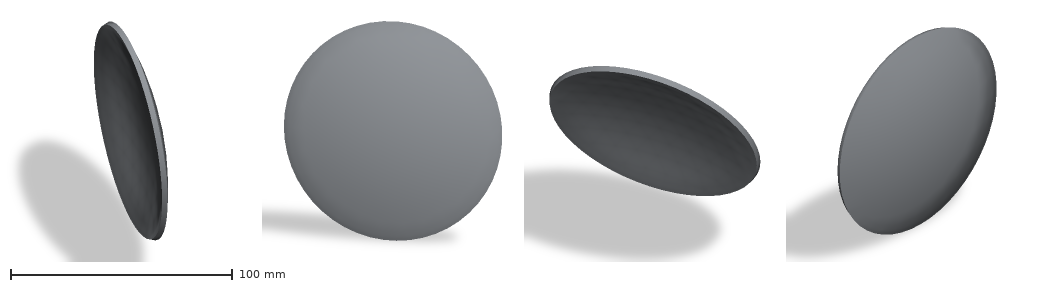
import cadquery as cq
import math

rim_radius = 50.5
outer_radius = 136.6
thickness = 2.5

inner_radius = outer_radius - thickness
rim_angle = math.asin(rim_radius / outer_radius)

sphere_centre_y = -inner_radius * math.cos(rim_angle)


def ball(radius):
    """Solid ball about the common centre of both dished faces."""
    return cq.Workplane("XY").sphere(radius).translate((0, sphere_centre_y, 0))


def rim_cone():
    """Cone from the sphere centre whose side cuts the rim square to the wall."""
    cone_height = outer_radius + thickness
    base_radius = cone_height * math.tan(rim_angle)
    base_y = sphere_centre_y + cone_height
    return (
        cq.Workplane("XY")
        .moveTo(0, sphere_centre_y)
        .lineTo(base_radius, base_y)
        .lineTo(0, base_y)
        .close()
        .revolve(360, (0, 0, 0), (0, 1, 0))
    )


result = rim_cone().intersect(ball(outer_radius)).cut(ball(inner_radius))